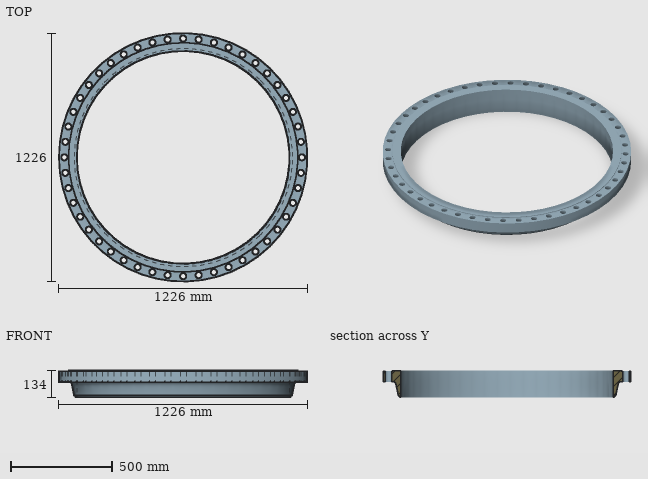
import cadquery as cq

flange_radius = 613.0
total_height = 134.0
bore_radius = 523.0

face_radius = 565.0
face_height = 4.0

flange_thickness = 55.0
flange_top = total_height - face_height
flange_bottom = flange_top - flange_thickness

hub_top_radius = 551.0
hub_bottom_radius = 538.0
bevel_size = 11.0
hub_fillet_radius = 7.0

bolt_count = 48
bolt_circle_radius = 586.0
bolt_hole_diameter = 30.0


def ring_body():
    """Weld-neck flange section revolved about Z, with square inner corners."""
    section = (
        cq.Workplane("XZ")
        .moveTo(-bore_radius, 0)
        .lineTo(-(hub_bottom_radius - bevel_size), 0)
        .lineTo(-hub_bottom_radius, bevel_size)
        .lineTo(-hub_top_radius, flange_bottom)
        .lineTo(-flange_radius, flange_bottom)
        .lineTo(-flange_radius, flange_top)
        .lineTo(-face_radius, flange_top)
        .lineTo(-face_radius, total_height)
        .lineTo(-bore_radius, total_height)
        .close()
    )
    return section.revolve(360, (0, 0, 0), (0, 1, 0))


def round_hub_root(body):
    """Fillet the corner where the hub meets the underside of the flange."""
    margin = 1.0
    half_width = hub_top_radius + margin
    root_box = cq.selectors.BoxSelector(
        (-half_width, -half_width, flange_bottom - margin),
        (half_width, half_width, flange_bottom + margin),
        boundingbox=True,
    )
    return body.edges("%CIRCLE").edges(root_box).fillet(hub_fillet_radius)


def bolt_holes():
    """Cutters for the bolt holes, through the whole flange plate."""
    return (
        cq.Workplane("XY")
        .workplane(offset=flange_bottom)
        .polarArray(bolt_circle_radius, 0, 360, bolt_count)
        .circle(bolt_hole_diameter / 2)
        .extrude(flange_thickness)
    )


result = round_hub_root(ring_body()).cut(bolt_holes())